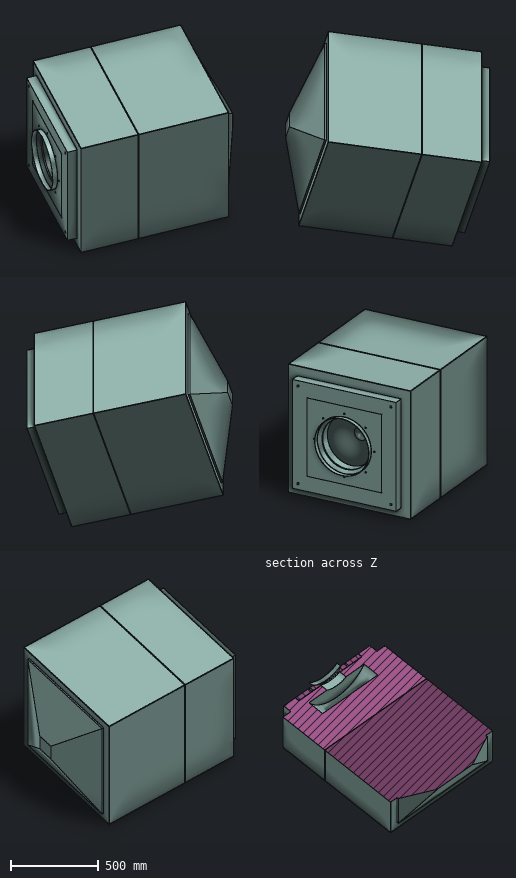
import cadquery as cq


core_width = 800.0
panel_thickness = 2.0
casing_length = 902.0
core_front = panel_thickness
core_back = casing_length - panel_thickness
seam_position = 352.0
seam_width = 4.0
front_panel_end = seam_position - seam_width / 2
rear_panel_start = seam_position + seam_width / 2

frame_width = 680.0
frame_depth = 60.0
frame_front = -frame_depth
frame_hole_spacing = 610.0
frame_hole_diameter = 12.0
frame_hole_depth = 20.0

inlet_width = 490.0
inlet_thickness = 30.0
inlet_back = frame_front + inlet_thickness
spigot_length = 30.0
spigot_front = frame_front - spigot_length
spigot_outer_diameter = 356.0
spigot_inner_diameter = 353.0
throat_diameter = 316.0
throat_taper_length = 21.0
taper_back = frame_front + throat_taper_length
inlet_hole_count = 8
inlet_hole_circle_diameter = 394.0
inlet_hole_diameter = 8.0

chamber_diameter = 514.0
chamber_front = 24.0
chamber_back = 136.0
dimple_radius = 43.0

hood_base_width = 700.0
hood_base_depth = 10.0
hood_tip_width = 104.0
hood_taper_length = 142.0


def plane_at(y):
    """Plane across the axis whose positive normal points backward (+Y)."""
    return cq.Workplane(cq.Plane(origin=(0, y, 0), xDir=(1, 0, 0), normal=(0, 1, 0)))


def square_block(width, y_start, y_end):
    return plane_at(y_start).rect(width, width).extrude(y_end - y_start)


def disc(diameter, y_start, y_end):
    return plane_at(y_start).circle(diameter / 2).extrude(y_end - y_start)


def side_panels(y_start, y_end):
    """The four raised panels round the core, left open along its long edges."""
    panel_span = core_width + 2 * panel_thickness
    length = y_end - y_start
    across = plane_at(y_start).rect(panel_span, core_width).extrude(length)
    upright = plane_at(y_start).rect(core_width, panel_span).extrude(length)
    return across.union(upright)


def make_front_section():
    section = square_block(core_width, 0, seam_position)
    section = section.union(side_panels(core_front, front_panel_end))
    section = section.union(square_block(frame_width, frame_front, 0))

    inlet_pocket = square_block(inlet_width, frame_front, inlet_back)
    throat = disc(throat_diameter, inlet_back, chamber_front)
    chamber = disc(chamber_diameter, chamber_front, chamber_back)
    dimple = cq.Workplane("XY").sphere(dimple_radius).translate((0, chamber_back, 0))
    frame_holes = (
        plane_at(frame_front)
        .rect(frame_hole_spacing, frame_hole_spacing, forConstruction=True)
        .vertices()
        .circle(frame_hole_diameter / 2)
        .extrude(frame_hole_depth)
    )
    for opening in (inlet_pocket, throat, chamber, dimple, frame_holes):
        section = section.cut(opening)
    return section


def make_inlet_plate():
    plate = square_block(inlet_width, frame_front, inlet_back)
    plate = plate.union(disc(spigot_outer_diameter, spigot_front, frame_front))

    spigot_bore = disc(spigot_inner_diameter, spigot_front, frame_front)
    throat_taper = (
        plane_at(frame_front)
        .circle(spigot_inner_diameter / 2)
        .workplane(offset=throat_taper_length)
        .circle(throat_diameter / 2)
        .loft(ruled=True)
    )
    throat = disc(throat_diameter, taper_back, inlet_back)
    inlet_holes = (
        plane_at(frame_front)
        .polarArray(inlet_hole_circle_diameter / 2, 0, 360, inlet_hole_count)
        .circle(inlet_hole_diameter / 2)
        .extrude(inlet_thickness)
    )
    for opening in (spigot_bore, throat_taper, throat, inlet_holes):
        plate = plate.cut(opening)
    return plate


def make_rear_section():
    section = square_block(core_width, seam_position, casing_length)
    section = section.union(side_panels(rear_panel_start, core_back))

    hood_taper_start = casing_length + hood_base_depth
    hood_base = square_block(hood_base_width, casing_length, hood_taper_start)
    hood_taper = (
        plane_at(hood_taper_start)
        .rect(hood_base_width, hood_base_width)
        .workplane(offset=hood_taper_length)
        .rect(hood_tip_width, hood_tip_width)
        .loft(ruled=True)
    )
    return section.union(hood_base).union(hood_taper)


front_section = make_front_section()
inlet_plate = make_inlet_plate()
rear_section = make_rear_section()

result = cq.Compound.makeCompound([front_section.val(), inlet_plate.val(), rear_section.val()])